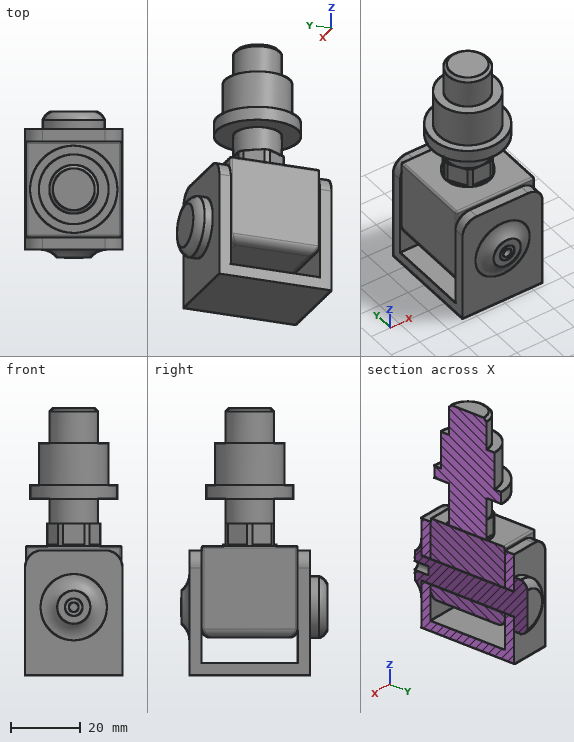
import cadquery as cq

clevis_width = 28.0
clevis_wall = 3.55
clevis_height = 35.8
clevis_corner_radius = 5.0

block_width = 27.5
block_bottom = 10.8
block_top = 37.0
block_edge_radius = 0.6
block_bottom_radius = 2.5

clevis_depth = block_width + 2 * clevis_wall
clevis_face = clevis_depth / 2

pin_height = 19.5
pin_diameter = 8.0
domed_head_diameter = 17.8
domed_head_length = 5.0
domed_head_rim = 2.5
domed_head_arc_radius = 4.0
flared_head_diameter = 19.0
flared_head_end_diameter = 9.5
flared_head_length = 2.3
tip_diameter = 5.0
tip_length = 0.1
pin_bore_diameter = 2.75
pin_bore_depth = 5.0

stud_diameter = 14.0
stud_chamfer = 1.0
collar_diameter = 15.3
collar_top = 37.5
hex_across_flats = 14.0
hex_turn = 30.0
hex_top = 43.5
flange_diameter = 25.0
flange_bottom = 50.5
flange_top = 54.5
sleeve_diameter = 20.0
sleeve_top = 66.5
stud_top = 76.5


def cylinder_y(diameter, start_y, end_y):
    """Cylinder on the pivot axis between two Y positions."""
    plane = cq.Workplane("XZ", origin=(0, start_y, pin_height))
    return plane.circle(diameter / 2).extrude(start_y - end_y)


def cylinder_z(diameter, bottom, top):
    """Cylinder on the stud axis between two heights."""
    return cq.Workplane("XY").workplane(offset=bottom).circle(diameter / 2).extrude(top - bottom)


def make_clevis():
    body = cq.Workplane("XY").box(clevis_width, clevis_depth, clevis_height, centered=(True, True, False))
    gap = (
        cq.Workplane("XY")
        .workplane(offset=clevis_wall)
        .box(clevis_width, block_width, clevis_height, centered=(True, True, False))
    )
    body = body.cut(gap)
    body = body.faces(">Z").edges("|Y").fillet(clevis_corner_radius)
    return body.cut(cylinder_y(pin_diameter, -clevis_face, clevis_face))


def make_block():
    block_height = block_top - block_bottom
    body = (
        cq.Workplane("XY")
        .workplane(offset=block_bottom)
        .box(block_width, block_width, block_height, centered=(True, True, False))
    )
    body = body.edges("|Z").fillet(block_edge_radius)
    body = body.faces("<Z").edges().fillet(block_bottom_radius)
    body = body.faces(">Z").edges().fillet(block_edge_radius)
    return body.cut(cylinder_y(pin_diameter, -clevis_face, clevis_face))


def make_domed_head():
    """Round head whose rim is rounded over by a shallow convex arc."""
    radius = domed_head_diameter / 2
    rim_start_y = clevis_face + domed_head_length - domed_head_rim
    end_y = clevis_face + domed_head_length
    profile = (
        cq.Workplane("XY")
        .moveTo(0, clevis_face)
        .lineTo(radius, clevis_face)
        .lineTo(radius, rim_start_y)
        .radiusArc((radius - domed_head_rim, end_y), -domed_head_arc_radius)
        .lineTo(0, end_y)
        .close()
    )
    head = profile.revolve(360, (0, 0, 0), (0, 1, 0))
    return head.translate((0, 0, pin_height))


def make_flared_head():
    """Head with a concave arc profile that runs tangent into the clevis arm."""
    base_radius = flared_head_diameter / 2
    end_radius = flared_head_end_diameter / 2
    run = base_radius - end_radius
    arc_radius = (run**2 + flared_head_length**2) / (2 * flared_head_length)
    middle_rise = arc_radius - (arc_radius**2 - (run / 2) ** 2) ** 0.5
    end_y = -clevis_face - flared_head_length
    profile = (
        cq.Workplane("XY")
        .moveTo(0, -clevis_face)
        .lineTo(base_radius, -clevis_face)
        .threePointArc((base_radius - run / 2, -clevis_face - middle_rise), (end_radius, end_y))
        .lineTo(0, end_y)
        .close()
    )
    head = profile.revolve(360, (0, 0, 0), (0, 1, 0))
    return head.translate((0, 0, pin_height))


def make_pin():
    shank = cylinder_y(pin_diameter, -clevis_face, clevis_face)
    head_end = -clevis_face - flared_head_length
    tip = cylinder_y(tip_diameter, head_end - tip_length, head_end)
    bore = cylinder_y(pin_bore_diameter, head_end - tip_length, head_end + pin_bore_depth)
    return shank.union(make_domed_head()).union(make_flared_head()).union(tip).cut(bore)


def make_stud():
    collar = cylinder_z(collar_diameter, block_top, collar_top)
    hexagon = (
        cq.Workplane("XY")
        .workplane(offset=collar_top)
        .polygon(6, hex_across_flats, circumscribed=True)
        .extrude(hex_top - collar_top)
        .rotate((0, 0, 0), (0, 0, 1), hex_turn)
        .intersect(cylinder_z(collar_diameter, collar_top, hex_top))
    )
    rod = cylinder_z(stud_diameter, hex_top, stud_top).faces(">Z").chamfer(stud_chamfer)
    flange = cylinder_z(flange_diameter, flange_bottom, flange_top)
    sleeve = cylinder_z(sleeve_diameter, flange_top, sleeve_top)
    return collar.union(hexagon).union(rod).union(flange).union(sleeve)


clevis = make_clevis()
block = make_block()
pin = make_pin()
stud = make_stud()

result = cq.Compound.makeCompound([clevis.val(), block.val(), pin.val(), stud.val()])